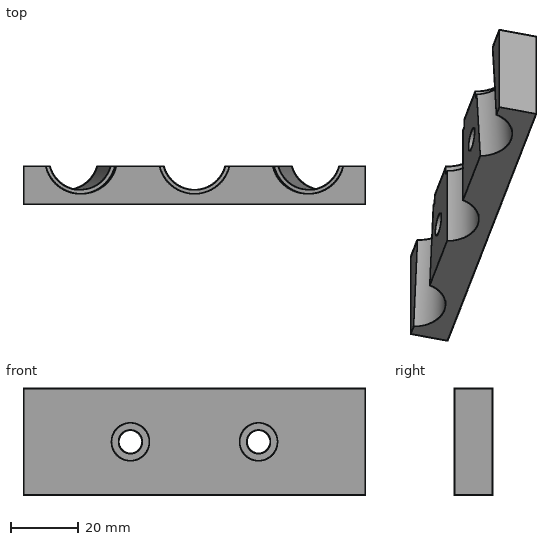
import cadquery as cq
import math

length = 101.6
thickness = 11.4
height = 31.7

groove_spacing = 33.7
groove_radius = 9.4
lean_angle = 8.0
axis_offset = 2.4
recess_radius = 10.7
middle_recess_depth = 3.0
outer_recess_depth = 1.5

hole_spacing = 38.1
hole_diameter = 6.9
counterbore_diameter = 11.3
counterbore_depth = 6.5


def groove_cutter(x_top, lean, recess_depth):
    """Stepped cylinder whose axis meets the top face at x_top; the step is square to the axis."""
    overrun = recess_radius * math.tan(math.radians(lean_angle)) + 1.0
    through = cq.Workplane("XY").circle(groove_radius).extrude(-(height + 2 * overrun))
    recess = cq.Workplane("XY").workplane(offset=-recess_depth).circle(recess_radius)
    recess = recess.extrude(recess_depth + overrun)
    cutter = through.union(recess).rotate((0, 0, 0), (0, 1, 0), lean)
    return cutter.translate((x_top, thickness / 2 + axis_offset, height / 2))


block = cq.Workplane("XY").box(length, thickness, height)

block = block.cut(groove_cutter(0, 0, middle_recess_depth))
for side in (-1, 1):
    block = block.cut(groove_cutter(side * groove_spacing, -side * lean_angle, outer_recess_depth))

result = (
    block.faces("<Y")
    .workplane(centerOption="CenterOfBoundBox")
    .pushPoints([(-hole_spacing / 2, 0), (hole_spacing / 2, 0)])
    .cboreHole(hole_diameter, counterbore_diameter, counterbore_depth)
)